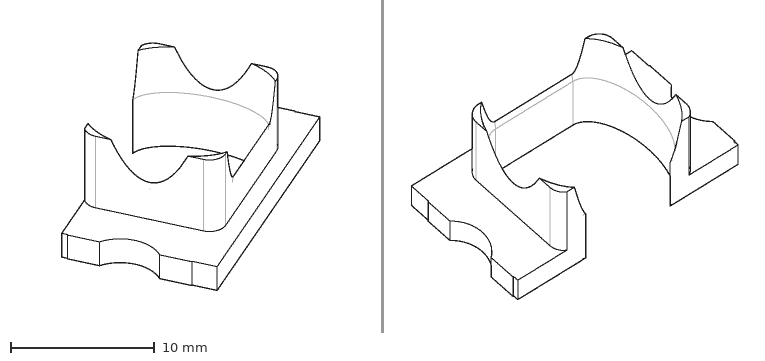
import cadquery as cq

length = 20.05
width = 11.57
height = 8.0
base_height = 2.0
center_x = 5.07

tab_step = 0.06
tab_half_width = 4.63
notch_radius = 2.89
notch_depth = 1.06

collar_right = 10.29
collar_length = 12.33
collar_radius = 1.2

opening_half_straight = 3.49
opening_radius_x = 5.11
opening_radius_y = 2.59
flare_start = 4.51
flare_offset = 0.52


def box_between(x_min, x_max, y_length, z_height):
    """Box on the ground plane, centered in Y."""
    return (
        cq.Workplane("XY")
        .box(x_max - x_min, y_length, z_height, centered=(False, True, False))
        .translate((x_min, 0, 0))
    )


def make_base():
    plate = box_between(0, width, length - 2 * tab_step, base_height)
    tabs = box_between(center_x - tab_half_width, center_x + tab_half_width, length, base_height)
    notch_center_y = length / 2 - notch_depth + notch_radius
    notches = (
        cq.Workplane("XY")
        .pushPoints([(center_x, -notch_center_y), (center_x, notch_center_y)])
        .circle(notch_radius)
        .extrude(base_height)
    )
    return plate.union(tabs).cut(notches)


def make_collar():
    collar_left = 2 * center_x - collar_right
    collar = box_between(collar_left, collar_right, collar_length, height)
    collar = collar.edges("|Z").fillet(collar_radius)
    return collar.intersect(box_between(0, width, length, height))


def opening_outline(plane, offset):
    """Closed opening outline, with both ellipse radii enlarged by offset."""
    radius_x = opening_radius_x + offset
    radius_y = opening_radius_y + offset
    right = center_x + radius_x
    left = center_x - radius_x
    return (
        plane.moveTo(right, -opening_half_straight)
        .lineTo(right, opening_half_straight)
        .ellipseArc(radius_x, radius_y, 0, 180, startAtCurrent=True)
        .lineTo(left, -opening_half_straight)
        .ellipseArc(radius_x, radius_y, 180, 360, startAtCurrent=True)
        .close()
    )


def make_opening():
    straight = opening_outline(cq.Workplane("XY"), 0).extrude(flare_start)
    lower = opening_outline(cq.Workplane("XY").workplane(offset=flare_start), 0)
    upper_plane = lower.workplane(offset=height - flare_start)
    flare = opening_outline(upper_plane, flare_offset).loft(ruled=True)
    return straight.union(flare)


result = make_base().union(make_collar()).cut(make_opening())